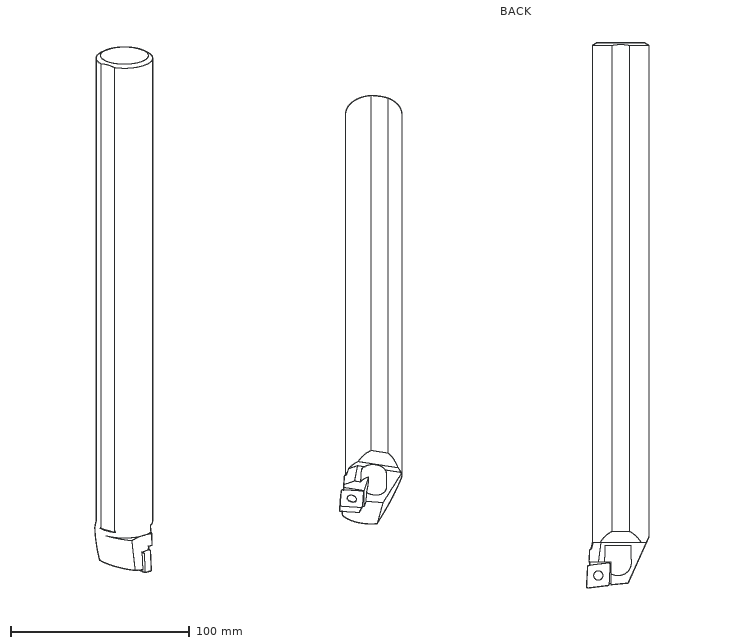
import cadquery as cq
import math

total_length = 306.0
shank_radius = 16.0
flat_offset = 15.15
shank_bottom = 25.7
flat_bottom = 24.8
top_chamfer_height = 1.5
top_chamfer_width = 2.5

head_radius = 16.68
bulge_radius = 21.27
bulge_end_y = 3.7
tangent_x = 0.5
shoulder_low = 20.2
shoulder_low_radius = 20.0
shoulder_mid = 22.0

relief_top = 28.8
relief_slope = 0.45

end_height = 3.0
end_slope_x = 0.1
end_slope_y = 0.14
side_offset = 18.2
side_slope_y = 0.22
side_slope_z = 0.06

gullet_start = 31.8
gullet_foot = 25.7
gullet_foot_y = 11.0
chip_face_top_y = 7.5
chip_face_bottom_y = 5.0

boss_x = 1.5
boss_radius = 7.5
boss_top = 24.0
boss_shoulder = 14.0
boss_bottom = 7.0

insert_edge = 13.0
insert_thickness = 5.0
insert_clearance = 7.0
nose_radius = 1.0
hole_diameter = 5.2
tip_x = 19.3
tip_z = -0.12
bottom_lead = 7.0
side_lead = 3.0
seat_clear_x = 5.5
seat_clear_top = 14.7

margin = 61.2
diagonal = math.sqrt(0.5)


def make_shank():
    bar = (
        cq.Workplane("XZ")
        .moveTo(0, shank_bottom)
        .lineTo(shank_radius, shank_bottom)
        .lineTo(shank_radius, total_length - top_chamfer_height)
        .lineTo(shank_radius - top_chamfer_width, total_length)
        .lineTo(0, total_length)
        .close()
        .revolve(360, (0, 0, 0), (0, 1, 0))
    )
    between_flats = cq.Workplane("XY").box(margin, 2 * flat_offset, 2 * total_length)
    return bar.intersect(between_flats)


def make_head_blank():
    bulge_y = bulge_radius - head_radius
    bulge_mid = bulge_radius * diagonal
    bulge_end_x = tangent_x + math.sqrt(bulge_radius**2 - bulge_y**2)
    outline = (
        cq.Workplane("XY")
        .moveTo(-head_radius, 0)
        .threePointArc(
            (-head_radius * diagonal, -head_radius * diagonal),
            (0, -head_radius),
        )
        .lineTo(tangent_x, -head_radius)
        .threePointArc(
            (tangent_x + bulge_mid, bulge_y - bulge_mid),
            (bulge_end_x, 0),
        )
        .lineTo(shank_radius, bulge_end_y)
        .lineTo(0, head_radius)
        .threePointArc((-head_radius * diagonal, head_radius * diagonal), (-head_radius, 0))
        .close()
        .extrude(shank_bottom)
    )
    shoulder = (
        cq.Workplane("XZ")
        .moveTo(0, 0)
        .lineTo(2 * bulge_radius, 0)
        .lineTo(2 * bulge_radius, shoulder_low)
        .lineTo(shoulder_low_radius, shoulder_low)
        .lineTo(head_radius, shoulder_mid)
        .lineTo(shank_radius, shank_bottom)
        .lineTo(0, shank_bottom)
        .close()
        .revolve(360, (0, 0, 0), (0, 1, 0))
    )
    blank = outline.intersect(shoulder)
    flat_run_out = cq.Workplane("XY").box(2 * margin, margin, margin, centered=(True, False, False))
    return blank.cut(flat_run_out.translate((0, -flat_offset - margin, flat_bottom)))


def half_space(point, outward):
    """Large block on the outward side of a plane through the point."""
    return cq.Workplane(cq.Plane(point, normal=outward)).rect(4 * margin, 4 * margin).extrude(margin)


def cut_gullet(body):
    cutter = (
        cq.Workplane("YZ")
        .moveTo(flat_offset, gullet_start)
        .lineTo(gullet_foot_y, gullet_foot)
        .lineTo(chip_face_top_y, gullet_foot)
        .lineTo(chip_face_bottom_y, 0)
        .lineTo(chip_face_bottom_y, -margin)
        .lineTo(margin, -margin)
        .lineTo(margin, gullet_start)
        .close()
        .extrude(margin, both=True)
    )
    return body.cut(cutter)


def make_boss():
    drop = boss_shoulder - boss_bottom
    return (
        cq.Workplane("XZ")
        .moveTo(0, boss_bottom)
        .threePointArc(
            (boss_radius * diagonal, boss_shoulder - drop * diagonal),
            (boss_radius, boss_shoulder),
        )
        .lineTo(boss_radius, boss_top)
        .lineTo(0, boss_top)
        .close()
        .revolve(360, (0, 0, 0), (0, 1, 0))
        .translate((boss_x, chip_face_bottom_y, 0))
    )


def make_insert_blank():
    """Tapered rhombus with rounded corners, rake face at Y = 0, hanging towards -Y."""
    bottom = math.radians(bottom_lead)
    side = math.radians(side_lead)
    along = cq.Vector(-insert_edge * math.cos(bottom), insert_edge * math.sin(bottom))
    up = cq.Vector(-insert_edge * math.sin(side), insert_edge * math.cos(side))
    tip = cq.Vector(tip_x, tip_z)
    corners = [tip, tip + up, tip + up + along, tip + along]
    outline = cq.Sketch().polygon([c.toTuple()[:2] for c in corners + [tip]]).vertices().fillet(nose_radius)
    return cq.Workplane("XZ").placeSketch(outline).extrude(insert_thickness, taper=insert_clearance)


def make_insert():
    return make_insert_blank().faces(">Y").workplane(centerOption="CenterOfMass").hole(hole_diameter)


def make_bar():
    body = make_shank().union(make_head_blank())
    body = cut_gullet(body).union(make_boss())
    body = body.cut(half_space((-shank_radius, 0, relief_top), (-1, 0, -relief_slope)))
    body = body.cut(half_space((0, 0, end_height), (-end_slope_x, -end_slope_y, -1)))
    side_face = half_space((side_offset, 0, 0), (1, -side_slope_y, side_slope_z))
    head_zone = cq.Workplane("XY").box(2 * margin, 2 * margin, 2 * shoulder_mid)
    body = body.cut(side_face.intersect(head_zone))
    rake_space = cq.Workplane("XY").box(
        margin, margin, margin + seat_clear_top, centered=False
    ).translate((seat_clear_x, 0, -margin))
    return body.cut(rake_space).cut(make_insert_blank())


bar = make_bar()
insert = make_insert()
result = cq.Compound.makeCompound([bar.solids().val(), insert.solids().val()])